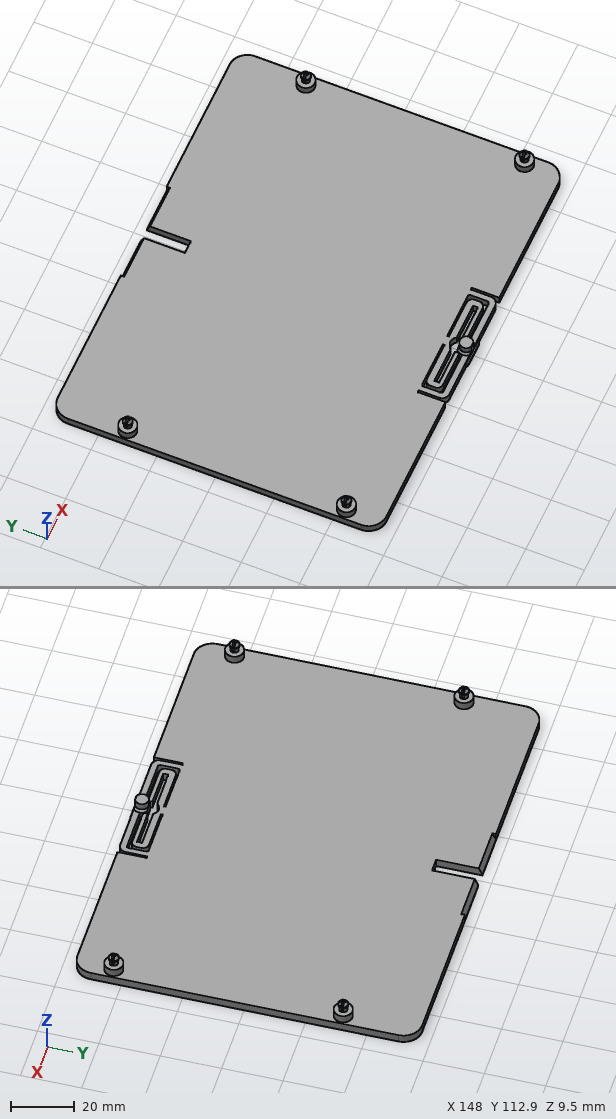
import cadquery as cq

plate_length = 148.0
plate_width = 112.3
plate_thickness = 3.0
corner_radius = 6.0
through = 3 * plate_thickness

boss_diameter = 6.0
boss_top = 5.8
stem_diameter = 2.7
barb_diameter = 3.3
barb_bottom = 7.8
barb_top = 8.3
tip_diameter = 1.5
pin_top = 9.5
pin_slot_width = 0.7
pin_slot_floor = 6.5
pin_side_inset = 3.5
pin_front_inset = 12.6
pin_back_inset = 25.0

notch_width = 4.7
notch_depth = 15.1
recess_length = 36.3
recess_depth = 1.2
recess_height = 2.5

slit_outer_x = 21.3
slit_width = 0.7
slit_depth = 9.5
tongue_radius = 2.5
window_length = 37.3
window_front = 2.2
window_back = 9.3
window_radius = 0.7
loop_length = 35.1
loop_front = 3.3
loop_back = 8.7
loop_radius = 1.9
bridge_width = 3.5
slot_length = 30.6
slot_front = 4.7
slot_back = 6.4
relief_radius = 2.8

knob_radius = 2.2
knob_skirt_radius = 3.0
knob_top = 6.0
knob_skirt_top = plate_thickness + knob_skirt_radius - knob_radius
knob_y = 2.0
ridge_base_length = 10.2
ridge_base_height = 1.8
ridge_tip_length = 8.5
ridge_tip_height = 0.6
ridge_depth = 0.6


def block(x_min, x_max, y_min, y_max, z_min, z_max):
    """Box given by its limits along each axis."""
    size = (x_max - x_min, y_max - y_min, z_max - z_min)
    return cq.Workplane("XY").box(*size, centered=False).translate((x_min, y_min, z_min))


def centred_block(length, y_min, y_max):
    """Box centred on X that is taller than the whole plate thickness."""
    return block(-length / 2, length / 2, y_min, y_max, -plate_thickness, through)


def make_plate():
    plate = block(-plate_length / 2, plate_length / 2, 0, plate_width, 0, plate_thickness)
    return plate.edges("|Z").fillet(corner_radius)


def cut_back_edge(plate):
    """Narrow through notch plus a long bevel on the upper back edge."""
    notch = centred_block(notch_width, plate_width - notch_depth, plate_width + notch_depth)
    recess = (
        cq.Workplane("YZ")
        .moveTo(plate_width, plate_thickness)
        .lineTo(plate_width - recess_depth, plate_thickness)
        .lineTo(plate_width, plate_thickness - recess_height)
        .close()
        .extrude(recess_length / 2, both=True)
    )
    return plate.cut(notch).cut(recess)


def cut_latch(plate):
    """Free the tongue with two side slits, then open the window around the spring loop."""
    tongue_length = 2 * (slit_outer_x - slit_width)
    tongue = centred_block(tongue_length, 0, slit_depth)
    tongue = tongue.edges("|Z and <Y").fillet(tongue_radius)
    slits = centred_block(2 * slit_outer_x, -slit_depth, slit_depth).cut(tongue)

    window = centred_block(window_length, window_front, window_back)
    window = window.edges("|Z").fillet(window_radius)
    loop = centred_block(loop_length, loop_front, loop_back)
    loop = loop.edges("|Z").fillet(loop_radius)
    bridge = centred_block(bridge_width, loop_front, window_back)
    gap = window.cut(loop).cut(bridge)

    slot = centred_block(slot_length, slot_front, slot_back)
    relief = cq.Workplane("XY").center(0, slot_front).circle(relief_radius).extrude(through)
    return plate.cut(slits).cut(gap).cut(slot).cut(relief)


def make_knob():
    """Round knob with a conical skirt, trimmed flush with the tongue at front and back."""
    knob = (
        cq.Workplane("XZ")
        .polyline([
            (0, 0),
            (knob_skirt_radius, 0),
            (knob_skirt_radius, plate_thickness),
            (knob_radius, knob_skirt_top),
            (knob_radius, knob_top),
            (0, knob_top),
        ])
        .close()
        .revolve(360, (0, 0), (0, 1))
        .translate((0, knob_y, 0))
    )
    return knob.intersect(centred_block(slot_length, 0, knob_y + knob_radius))


def make_ridge():
    """Catch ridge that tapers outwards from the front edge."""
    return (
        cq.Workplane("XZ")
        .center(0, ridge_base_height / 2)
        .rect(ridge_base_length, ridge_base_height)
        .workplane(offset=ridge_depth)
        .rect(ridge_tip_length, ridge_tip_height)
        .loft(ruled=True)
    )


def make_pin():
    """Boss with a barbed stem that is split lengthwise along X."""
    pin = (
        cq.Workplane("XZ")
        .polyline([
            (0, 0),
            (boss_diameter / 2, 0),
            (boss_diameter / 2, boss_top),
            (stem_diameter / 2, boss_top),
            (stem_diameter / 2, barb_bottom),
            (barb_diameter / 2, barb_bottom),
            (barb_diameter / 2, barb_top),
            (tip_diameter / 2, pin_top),
            (0, pin_top),
        ])
        .close()
        .revolve(360, (0, 0), (0, 1))
    )
    half_slot = pin_slot_width / 2
    split = block(-boss_diameter, boss_diameter, -half_slot, half_slot, pin_slot_floor, pin_top)
    return pin.cut(split)


result = cut_latch(cut_back_edge(make_plate()))
result = result.union(make_knob()).union(make_ridge())
pin_x = plate_length / 2 - pin_side_inset
for x in (-pin_x, pin_x):
    for y in (pin_front_inset, plate_width - pin_back_inset):
        result = result.union(make_pin().translate((x, y, 0)))